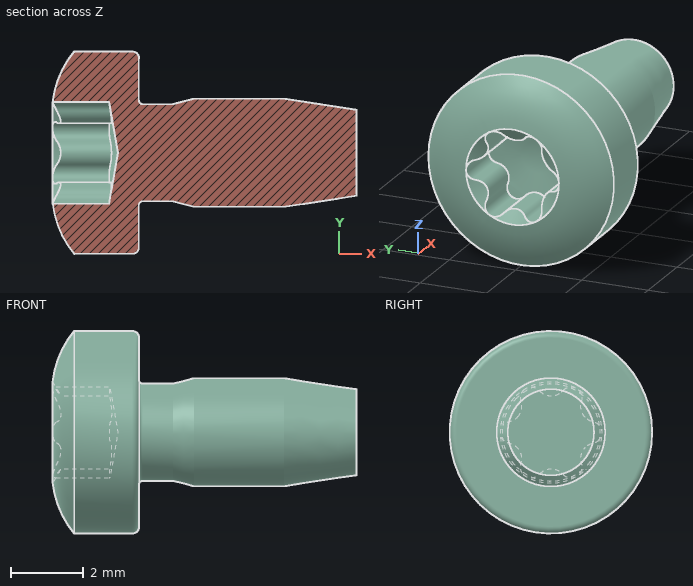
import cadquery as cq
import math

total_length = 8.4
dome_depth = 0.6
head_length = 2.39
neck_end = 3.33
shank_start = 3.91
taper_start = 6.4

head_radius = 5.6 / 2
neck_radius = 2.7 / 2
shank_radius = 3.0 / 2
tip_radius = 1.19
dome_mid_depth = 0.185
dome_mid_radius = 2.12
rim_fillet = 0.185
neck_fillet = 0.09

lobe_count = 6
recess_radius = 2.805 / 2
web_inner_radius = 1.01
lobe_radius = 0.3
recess_depth = 1.81
lead_in_depth = 0.23
floor_cone_depth = 0.24


def radial_point(radius, angle):
    """Return the (Y, Z) point at a radius and an angle from the Y axis."""
    return (radius * math.cos(angle), radius * math.sin(angle))


def make_body():
    """Revolve the domed head, necked shank and tapered tip about X."""
    arc_mid = math.sqrt(0.5)
    rim_mid = (
        head_length - rim_fillet * (1 - arc_mid),
        head_radius - rim_fillet * (1 - arc_mid),
    )
    neck_mid = (
        head_length + neck_fillet * (1 - arc_mid),
        neck_radius + neck_fillet * (1 - arc_mid),
    )
    return (
        cq.Workplane("XY")
        .lineTo(0, recess_radius)
        .threePointArc((dome_mid_depth, dome_mid_radius), (dome_depth, head_radius))
        .lineTo(head_length - rim_fillet, head_radius)
        .threePointArc(rim_mid, (head_length, head_radius - rim_fillet))
        .lineTo(head_length, neck_radius + neck_fillet)
        .threePointArc(neck_mid, (head_length + neck_fillet, neck_radius))
        .lineTo(neck_end, neck_radius)
        .lineTo(shank_start, shank_radius)
        .lineTo(taper_start, shank_radius)
        .lineTo(total_length, tip_radius)
        .lineTo(total_length, 0)
        .close()
        .revolve(360, (0, 0, 0), (1, 0, 0))
    )


def make_lobed_prism(length):
    """Extrude the six-lobe outline, its lobe and web arcs meeting tangentially."""
    half_pitch = math.pi / lobe_count
    lobe_center = recess_radius - lobe_radius
    cos_pitch = math.cos(half_pitch)
    web_radius = (
        web_inner_radius**2
        + lobe_center**2
        - 2 * web_inner_radius * lobe_center * cos_pitch
        - lobe_radius**2
    ) / (2 * (lobe_radius + lobe_center * cos_pitch - web_inner_radius))
    web_center = web_inner_radius + web_radius

    web_x, web_y = radial_point(web_center, half_pitch)
    share = lobe_radius / (lobe_radius + web_radius)
    joint_x = lobe_center + share * (web_x - lobe_center)
    joint_y = share * web_y
    joint_radius = math.hypot(joint_x, joint_y)
    joint_angle = math.atan2(joint_y, joint_x)

    outline = cq.Workplane("YZ").moveTo(*radial_point(joint_radius, -joint_angle))
    for index in range(lobe_count):
        lobe_angle = 2 * half_pitch * index
        web_angle = lobe_angle + half_pitch
        next_lobe_angle = web_angle + half_pitch
        outline = outline.threePointArc(
            radial_point(recess_radius, lobe_angle),
            radial_point(joint_radius, lobe_angle + joint_angle),
        ).threePointArc(
            radial_point(web_inner_radius, web_angle),
            radial_point(joint_radius, next_lobe_angle - joint_angle),
        )
    return outline.close().extrude(length)


def make_recess():
    """Lobed socket with a conical floor and a conical lead-in across the webs."""
    floor_envelope = (
        cq.Workplane("XY")
        .lineTo(0, head_radius)
        .lineTo(recess_depth - floor_cone_depth, head_radius)
        .lineTo(recess_depth - floor_cone_depth, recess_radius)
        .lineTo(recess_depth, 0)
        .close()
        .revolve(360, (0, 0, 0), (1, 0, 0))
    )
    lead_in = (
        cq.Workplane("XY")
        .lineTo(0, recess_radius)
        .lineTo(lead_in_depth, web_inner_radius)
        .lineTo(lead_in_depth, 0)
        .close()
        .revolve(360, (0, 0, 0), (1, 0, 0))
    )
    return make_lobed_prism(recess_depth).intersect(floor_envelope).union(lead_in)


result = make_body().cut(make_recess())